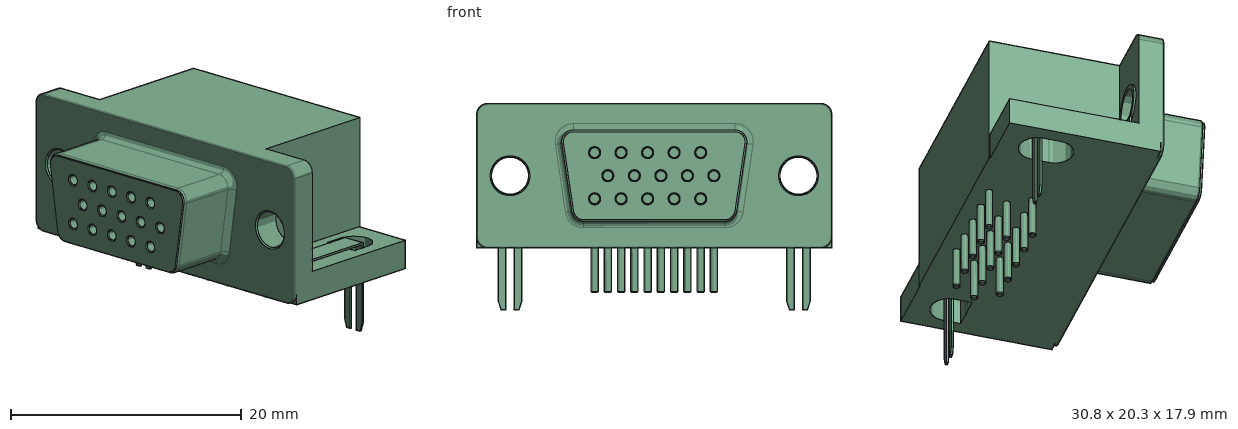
import cadquery as cq

width = 30.8
height = 12.55
plate_thickness = 0.3
plate_edge_radius = 0.1
corner_radius = 0.95
flange_rear = 2.28
body_width = 19.85
body_rear = 14.17
wing_rear = 14.08
wing_height = 2.6

screw_offset = 12.5
screw_height = height / 2
screw_diameter = 3.2
screw_chamfer = 0.12

shell_height = 7.92
shell_top_half_width = 8.2
shell_bottom_half_width = 7.02
shell_corner_radius = 1.02
shell_flare_radius = 0.55
shell_reach = 6.13
rim_radius = 0.15
insert_reach = 0.2
selection_margin = 2 * plate_edge_radius

contacts_per_row = 5
contact_span = 10.35
contact_pitch = contact_span / (contacts_per_row - 0.5)
socket_row_pitch = 2.0
socket_diameter = 0.85
socket_chamfer = 0.1
socket_depth = 3.08
pin_row_pitch = 1.97
pin_middle_row = 10.7
pin_diameter = 0.65
pin_length = 3.85
pin_chamfer = 0.1
pin_embed = 0.3

slot_width = 3.25
slot_rear_center = 10.63
slot_front_center = 9.02

washer_diameter = 4.0
strap_thickness = 0.2
strap_width = 2.05
strap_gap = 0.1
strap_bend_radius = 0.1
strap_top = 4.62
leg_rear = 10.72
leg_length = 5.35
leg_gap = 0.7
leg_taper_width = 0.25
leg_taper_height = 0.77


def block(x_size, y_min, y_max, z_min, z_max):
    """Box centred on X = 0 between the given Y and Z limits."""
    box = cq.Workplane("XY").box(x_size, y_max - y_min, z_max - z_min, centered=(True, False, False))
    return box.translate((0, y_min, z_min))


def cylinder_along_y(diameter, x, z, y_min, y_max):
    """Cylinder along +Y from y_min to y_max."""
    plane = cq.Workplane("XZ", origin=(x, y_min, z))
    return plane.circle(diameter / 2).extrude(y_min - y_max)


def make_housing():
    """Rear flange with round upper corners, central body and low side wings."""
    flange = block(width, plate_thickness, flange_rear, 0, height)
    flange = flange.edges("|Y and >Z").fillet(corner_radius)
    body = block(body_width, plate_thickness, body_rear, 0, height)
    wings = block(width, plate_thickness, wing_rear, 0, wing_height)
    return flange.union(body).union(wings)


def make_shell(y_front, y_rear):
    """D-shaped prism, wider at the top, with rounded corners and a rounded front rim."""
    half_height = shell_height / 2
    corners = [
        (-shell_top_half_width, half_height),
        (shell_top_half_width, half_height),
        (shell_bottom_half_width, -half_height),
        (-shell_bottom_half_width, -half_height),
    ]
    prism = cq.Workplane("XZ", origin=(0, y_rear, screw_height)).polyline(corners).close()
    prism = prism.extrude(y_rear - y_front).edges("|Y").fillet(shell_corner_radius)
    return prism.faces("<Y").edges().fillet(rim_radius)


def make_front():
    """Plate with rounded edges, flared D-shaped shell and proud insert."""
    plate = block(width, 0, plate_thickness, 0, height)
    plate = plate.edges("|Y").fillet(corner_radius)
    plate = plate.faces("<Y").edges().fillet(plate_edge_radius)
    shell = make_shell(insert_reach - shell_reach, plate_thickness)
    insert = shell.faces("<Y").wires().toPending().extrude(insert_reach)
    root_edges = cq.selectors.BoxSelector(
        (selection_margin - width / 2, -selection_margin, selection_margin),
        (width / 2 - selection_margin, selection_margin, height - selection_margin),
    )
    front = plate.union(shell).edges(root_edges).fillet(shell_flare_radius)
    return front.union(insert)


def contact_positions(row):
    """X positions of one contact row; the middle row (0) is shifted half a pitch from the others."""
    stagger = contact_pitch / 4 if row == 0 else -contact_pitch / 4
    middle = (contacts_per_row - 1) / 2
    return [stagger + contact_pitch * (i - middle) for i in range(contacts_per_row)]


def make_socket(x, z):
    """Cutter for one contact hole with a chamfered mouth."""
    hole = cylinder_along_y(socket_diameter, x, z, -shell_reach, socket_depth - shell_reach)
    mouth_radius = socket_diameter / 2 + socket_chamfer
    mouth = cq.Solid.makeCone(
        mouth_radius, socket_diameter / 2, socket_chamfer,
        pnt=cq.Vector(x, -shell_reach, z), dir=cq.Vector(0, 1, 0),
    )
    return hole.union(cq.Workplane(mouth))


def make_pin(x, y):
    """Round solder pin below the housing with a chamfered tip."""
    pin = cq.Workplane("XY", origin=(x, y, -pin_length)).circle(pin_diameter / 2)
    return pin.extrude(pin_length + pin_embed).faces("<Z").chamfer(pin_chamfer)


def make_slot(has_round_front):
    """Cutter through a wing: round at the rear, round or square at the front, centred on X = 0."""
    depth = wing_height
    slot = block(slot_width, slot_front_center, slot_rear_center, 0, depth)
    round_ends = [slot_rear_center]
    if has_round_front:
        round_ends.append(slot_front_center)
    for y in round_ends:
        slot = slot.union(cq.Workplane("XY", origin=(0, y, 0)).circle(slot_width / 2).extrude(depth))
    return slot


def make_strap():
    """Washer, bent strap and two tapered solder legs, centred on X = 0."""
    washer = cylinder_along_y(washer_diameter, 0, screw_height, flange_rear, flange_rear + strap_thickness)
    strap_front = flange_rear + strap_gap
    run_top = wing_height + strap_thickness
    upright = block(strap_width, strap_front, strap_front + strap_thickness, wing_height, strap_top)
    run = block(strap_width, strap_front, leg_rear, wing_height, run_top)
    run = run.edges("|X and >Y and >Z").fillet(strap_bend_radius)
    half_width = strap_width / 2
    taper_top = leg_taper_height - leg_length
    legs = (
        cq.Workplane("XZ", origin=(0, leg_rear, 0))
        .polyline([
            (-half_width, wing_height),
            (-half_width, taper_top),
            (leg_taper_width - half_width, -leg_length),
            (half_width - leg_taper_width, -leg_length),
            (half_width, taper_top),
            (half_width, wing_height),
        ])
        .close()
        .extrude(strap_thickness)
    )
    leg_slit = block(leg_gap, leg_rear - strap_thickness, leg_rear, -leg_length, wing_height)
    return washer.union(upright).union(run).union(legs.cut(leg_slit))


def make_screw_hole(x):
    """Cutter for one screw hole, chamfered at the front face of the plate."""
    hole = cylinder_along_y(screw_diameter, x, screw_height, 0, flange_rear + strap_gap + strap_thickness)
    mouth = cq.Solid.makeCone(
        screw_diameter / 2 + screw_chamfer, screw_diameter / 2, screw_chamfer,
        pnt=cq.Vector(x, 0, screw_height), dir=cq.Vector(0, 1, 0),
    )
    return hole.union(cq.Workplane(mouth))


result = make_housing().union(make_front())

for row in (-1, 0, 1):
    for x in contact_positions(row):
        result = result.cut(make_socket(x, screw_height + row * socket_row_pitch))
        result = result.union(make_pin(x, pin_middle_row + row * pin_row_pitch))

for side in (-1, 1):
    result = result.cut(make_slot(side < 0).translate((side * screw_offset, 0, 0)))
    result = result.union(make_strap().translate((side * screw_offset, 0, 0)))
    result = result.cut(make_screw_hole(side * screw_offset))